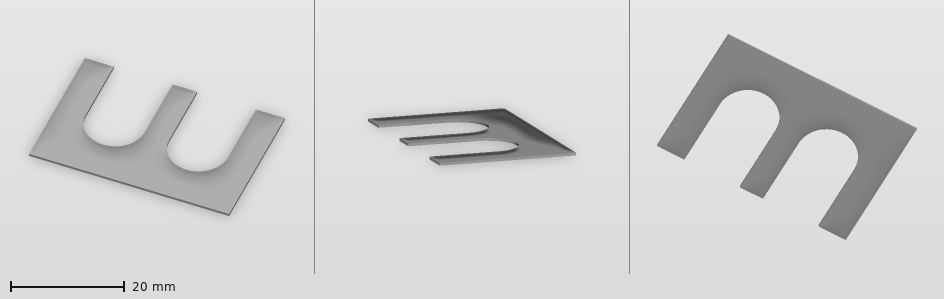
import cadquery as cq

plate_length = 38.1
plate_width = 25.4
plate_thickness = 0.5

slot_width = 11.2
slot_spacing = 15.875
slot_end_centre_y = 0.0


def make_plate():
    """Flat rectangular shim centred on the origin."""
    return cq.Workplane("XY").box(plate_length, plate_width, plate_thickness)


def make_slot(centre_x):
    """Cutter for a slot with a round inner end, open through the +Y edge."""
    left = centre_x - slot_width / 2
    right = centre_x + slot_width / 2
    round_bottom_y = slot_end_centre_y - slot_width / 2
    open_edge_y = plate_width / 2
    return (
        cq.Workplane("XY", origin=(0, 0, -plate_thickness / 2))
        .moveTo(left, open_edge_y)
        .lineTo(left, slot_end_centre_y)
        .threePointArc((centre_x, round_bottom_y), (right, slot_end_centre_y))
        .lineTo(right, open_edge_y)
        .close()
        .extrude(plate_thickness)
    )


result = make_plate()
for side in (-1, 1):
    result = result.cut(make_slot(side * slot_spacing / 2))